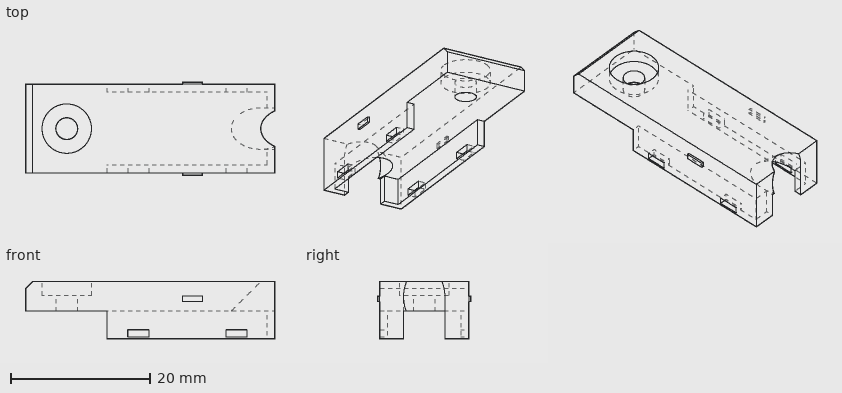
import cadquery as cq
import math

LENGTH = 35.8
WIDTH = 12.8
HEIGHT = 8.25
NOSE_CHAMFER = 1.0

SKIRT_HEIGHT = 4.0
SKIRT_START = 11.65
SKIRT_LENGTH = LENGTH - SKIRT_START

CAVITY_WIDTH = 10.5
END_WALL = (WIDTH - CAVITY_WIDTH) / 2
END_OPENING_WIDTH = 5.95

SCREW_X = 5.9
SCREW_DIAMETER = 3.1
HEAD_DIAMETER = 7.1
HEAD_DEPTH = 2.0

EXIT_ANGLE = 45.0
EXIT_RADIUS = END_OPENING_WIDTH / 2
EXIT_NOTCH_DEPTH = 2.0

WINDOW_LENGTH = 3.0
WINDOW_HEIGHT = 1.0
WINDOW_BOTTOM = 0.3
WINDOW_STARTS = (14.7, 28.8)

NIB_START = 22.55
NIB_LENGTH = 2.85
NIB_HEIGHT = 0.8
NIB_BOTTOM = 5.35
NIB_PROJECTION = 0.3


def block(x_start, length, width, z_bottom, height):
    """Box that starts at x_start and z_bottom and is centred on Y."""
    return (
        cq.Workplane("XY")
        .box(length, width, height, centered=(False, True, False))
        .translate((x_start, 0, z_bottom))
    )


def vertical_cylinder(x_center, diameter, z_bottom, height):
    """Cylinder along Z with its axis in the Y = 0 plane."""
    return (
        cq.Workplane("XY", origin=(x_center, 0, z_bottom))
        .circle(diameter / 2)
        .extrude(height)
    )


def make_body():
    """Side profile with the chamfered nose and the stepped underside."""
    return (
        cq.Workplane("XZ")
        .moveTo(0, SKIRT_HEIGHT)
        .lineTo(0, HEIGHT - NOSE_CHAMFER)
        .lineTo(NOSE_CHAMFER, HEIGHT)
        .lineTo(LENGTH, HEIGHT)
        .lineTo(LENGTH, 0)
        .lineTo(SKIRT_START, 0)
        .lineTo(SKIRT_START, SKIRT_HEIGHT)
        .close()
        .extrude(WIDTH / 2, both=True)
    )


def cut_cavity(body):
    """Hollow the skirt and open the middle of its end wall."""
    cavity = block(SKIRT_START, SKIRT_LENGTH - END_WALL, CAVITY_WIDTH, 0, SKIRT_HEIGHT)
    opening = block(SKIRT_START, SKIRT_LENGTH, END_OPENING_WIDTH, 0, SKIRT_HEIGHT)
    return body.cut(cavity).cut(opening)


def cut_screw_hole(body):
    """Through hole with a flat counterbore from the top."""
    shank = vertical_cylinder(SCREW_X, SCREW_DIAMETER, 0, HEIGHT)
    head = vertical_cylinder(SCREW_X, HEAD_DIAMETER, HEIGHT - HEAD_DEPTH, HEAD_DEPTH)
    return body.cut(shank).cut(head)


def cut_cable_exit(body):
    """Sloping bore from the cavity to the top, with the end opening carried up below it."""
    angle = math.radians(EXIT_ANGLE)
    axis_top_x = LENGTH - EXIT_NOTCH_DEPTH + EXIT_RADIUS / math.sin(angle)
    axis_bottom_x = axis_top_x - HEIGHT / math.tan(angle)
    axis_end_z = (LENGTH - axis_bottom_x) * math.tan(angle)

    axis_start = cq.Vector(axis_bottom_x, 0, 0)
    axis_direction = cq.Vector(math.cos(angle), 0, math.sin(angle))
    bore_length = 2 * HEIGHT / math.sin(angle)
    bore = cq.Solid.makeCylinder(EXIT_RADIUS, bore_length, axis_start, axis_direction)

    slot_below_axis = (
        cq.Workplane("XZ")
        .moveTo(axis_bottom_x, 0)
        .lineTo(LENGTH, 0)
        .lineTo(LENGTH, axis_end_z)
        .close()
        .extrude(EXIT_RADIUS, both=True)
    )
    return body.cut(cq.Workplane(bore)).cut(slot_below_axis)


def cut_windows(body):
    """Each cutter passes through both side walls."""
    for x_start in WINDOW_STARTS:
        body = body.cut(block(x_start, WINDOW_LENGTH, WIDTH, WINDOW_BOTTOM, WINDOW_HEIGHT))
    return body


def add_nibs(body):
    """One nib on each side wall, joined to the outer faces of the plate."""
    for side in (-1, 1):
        nib = block(NIB_START, NIB_LENGTH, NIB_PROJECTION, NIB_BOTTOM, NIB_HEIGHT)
        nib_y = side * (WIDTH + NIB_PROJECTION) / 2
        body = body.union(nib.translate((0, nib_y, 0)))
    return body


part = make_body()
part = cut_cavity(part)
part = cut_screw_hole(part)
part = cut_cable_exit(part)
part = cut_windows(part)
result = add_nibs(part)